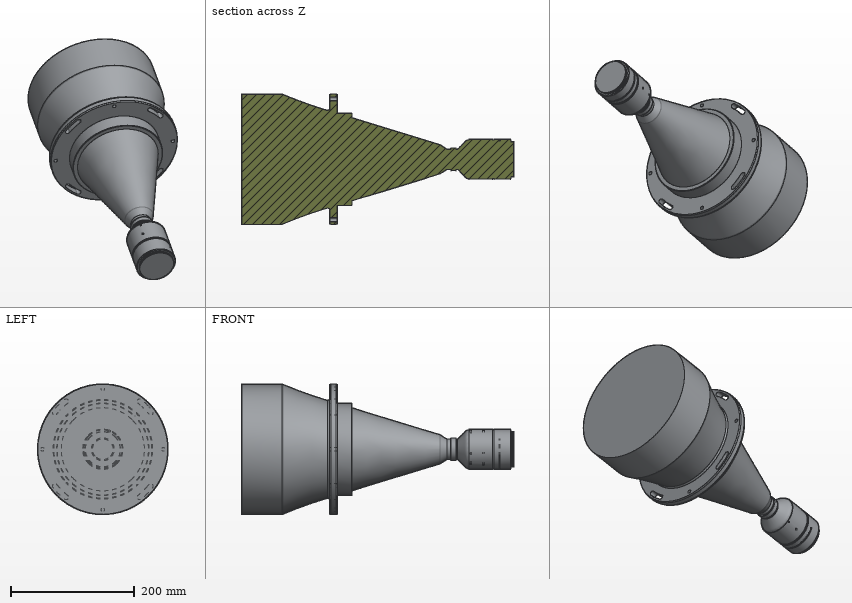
import cadquery as cq
import math

LENGTH = 441.0

BARREL_RADIUS = 106.0
BARREL_END = 66.5
BARREL_LIP_WIDTH = 1.5
BARREL_LIP_DEPTH = 0.5
TAPER_MID_X = 102.7
TAPER_MID_RADIUS = 91.3
TAPER_END_X = 139.0
TAPER_END_RADIUS = 79.5

FLANGE_DIAMETER = 212.0
FLANGE_RADIUS = FLANGE_DIAMETER / 2
FLANGE_START = 142.5
FLANGE_END = 155.0
FLANGE_CHAMFER_LENGTH = 2.5
FLANGE_CHAMFER_DEPTH = 1.0
FLANGE_NECK_RADIUS = 80.5

HUB_RADIUS = 75.0
HUB_END = 179.0
HUB_CHAMFER = 1.0
CONE_START_RADIUS = 67.5
CONE_END_X = 321.5
CONE_END_RADIUS = 24.0

WAIST_RADIUS = 16.8
WAIST_START = 332.5
WAIST_BLEND_MID_X = 326.7
WAIST_BLEND_MID_RADIUS = 20.5
RING_RADIUS = 18.5
RING_START = 338.0
RING_END = 348.0
RING_CHAMFER = 1.0

FLARE_START = 350.0
FLARE_MID_X = 360.3
FLARE_MID_RADIUS = 27.0
FLARE_END_RADIUS = 31.7
HEAD_RADIUS = 32.5
HEAD_START = 368.0
GROOVE_RADIUS = 31.7
GROOVE_START = 406.0
GROOVE_END = 408.8
HEAD_END = 436.5
HEAD_CHAMFER = 1.5
SPIGOT_RADIUS = 28.5
SPIGOT_GROOVE_START = 437.5
SPIGOT_GROOVE_END = 438.7
SPIGOT_GROOVE_DEPTH = 0.5

BOLT_CIRCLE_RADIUS = 98.0
SLOT_WIDTH = 8.0
SLOT_SPAN = 15.0
PIN_HOLE_DIAMETER = 5.7
HOLES_PER_CIRCLE = 4

SCREW_ROWS = [(371.5, 2.0, 17.0), (391.5, 3.0, 20.0)]
SCREWS_PER_ROW = 3
SCREW_DEPTH = 4.5

CLAMP_SLOT_X = 418.0
CLAMP_SLOT_WIDTH = 1.8
CLAMP_SLOT_DEPTH = 2.0
CLAMP_SLOT_START = 17.0
CLAMP_SLOT_END = 210.0


def turned_body():
    """Revolve the half profile about the X axis."""
    profile = (
        cq.Workplane("XY")
        .moveTo(0, 0)
        .lineTo(0, BARREL_RADIUS)
        .lineTo(BARREL_END - BARREL_LIP_WIDTH, BARREL_RADIUS)
        .lineTo(BARREL_END, BARREL_RADIUS - BARREL_LIP_DEPTH)
        .threePointArc((TAPER_MID_X, TAPER_MID_RADIUS), (TAPER_END_X, TAPER_END_RADIUS))
        .lineTo(FLANGE_START, FLANGE_NECK_RADIUS)
        .lineTo(FLANGE_START, FLANGE_RADIUS - FLANGE_CHAMFER_DEPTH)
        .lineTo(FLANGE_START + FLANGE_CHAMFER_LENGTH, FLANGE_RADIUS)
        .lineTo(FLANGE_END - FLANGE_CHAMFER_LENGTH, FLANGE_RADIUS)
        .lineTo(FLANGE_END, FLANGE_RADIUS - FLANGE_CHAMFER_DEPTH)
        .lineTo(FLANGE_END, HUB_RADIUS)
        .lineTo(HUB_END - HUB_CHAMFER, HUB_RADIUS)
        .lineTo(HUB_END, HUB_RADIUS - HUB_CHAMFER)
        .lineTo(HUB_END, CONE_START_RADIUS)
        .lineTo(CONE_END_X, CONE_END_RADIUS)
        .threePointArc((WAIST_BLEND_MID_X, WAIST_BLEND_MID_RADIUS), (WAIST_START, WAIST_RADIUS))
        .lineTo(RING_START, WAIST_RADIUS)
        .lineTo(RING_START + RING_CHAMFER, RING_RADIUS)
        .lineTo(RING_END - RING_CHAMFER, RING_RADIUS)
        .lineTo(RING_END, WAIST_RADIUS)
        .lineTo(FLARE_START, WAIST_RADIUS)
        .spline(
            [(FLARE_MID_X, FLARE_MID_RADIUS), (HEAD_START, FLARE_END_RADIUS)],
            tangents=[(1, 1), (1, 0)],
            includeCurrent=True,
        )
        .lineTo(HEAD_START, HEAD_RADIUS)
        .lineTo(GROOVE_START, HEAD_RADIUS)
        .lineTo(GROOVE_START, GROOVE_RADIUS)
        .lineTo(GROOVE_END, GROOVE_RADIUS)
        .lineTo(GROOVE_END, HEAD_RADIUS)
        .lineTo(HEAD_END - HEAD_CHAMFER, HEAD_RADIUS)
        .lineTo(HEAD_END, HEAD_RADIUS - HEAD_CHAMFER)
        .lineTo(HEAD_END, SPIGOT_RADIUS)
        .lineTo(SPIGOT_GROOVE_START, SPIGOT_RADIUS)
        .lineTo(SPIGOT_GROOVE_START, SPIGOT_RADIUS - SPIGOT_GROOVE_DEPTH)
        .lineTo(SPIGOT_GROOVE_END, SPIGOT_RADIUS - SPIGOT_GROOVE_DEPTH)
        .lineTo(SPIGOT_GROOVE_END, SPIGOT_RADIUS)
        .lineTo(LENGTH, SPIGOT_RADIUS)
        .lineTo(LENGTH, 0)
        .close()
    )
    return profile.revolve(360, (0, 0, 0), (1, 0, 0))


def polar(radius, angle):
    """Point in the YZ plane at an angle from +Y toward +Z."""
    return radius * math.cos(math.radians(angle)), radius * math.sin(math.radians(angle))


def flange_slot(middle_angle):
    """Round-ended slot that follows the bolt circle, cut right through the flange."""
    start = middle_angle - SLOT_SPAN / 2
    end = middle_angle + SLOT_SPAN / 2
    inner = BOLT_CIRCLE_RADIUS - SLOT_WIDTH / 2
    outer = BOLT_CIRCLE_RADIUS + SLOT_WIDTH / 2
    thickness = FLANGE_END - FLANGE_START
    band = (
        cq.Workplane("YZ", origin=(FLANGE_START, 0, 0))
        .moveTo(*polar(inner, start))
        .threePointArc(polar(inner, middle_angle), polar(inner, end))
        .lineTo(*polar(outer, end))
        .threePointArc(polar(outer, middle_angle), polar(outer, start))
        .close()
        .extrude(thickness)
    )
    ends = (
        cq.Workplane("YZ", origin=(FLANGE_START, 0, 0))
        .pushPoints([polar(BOLT_CIRCLE_RADIUS, start), polar(BOLT_CIRCLE_RADIUS, end)])
        .circle(SLOT_WIDTH / 2)
        .extrude(thickness)
    )
    return band.union(ends)


def pin_holes():
    """Small through holes midway between the flange slots."""
    return (
        cq.Workplane("YZ", origin=(FLANGE_START, 0, 0))
        .polarArray(BOLT_CIRCLE_RADIUS, 0, 360, HOLES_PER_CIRCLE)
        .circle(PIN_HOLE_DIAMETER / 2)
        .extrude(FLANGE_END - FLANGE_START)
    )


def screw_hole(place_x, diameter, angle):
    """Blind radial hole, turned from +Z toward -Y by the angle."""
    hole = (
        cq.Workplane("XY", origin=(place_x, 0, HEAD_RADIUS - SCREW_DEPTH))
        .circle(diameter / 2)
        .extrude(2 * SCREW_DEPTH)
    )
    return hole.rotate((0, 0, 0), (1, 0, 0), angle)


def clamp_slot():
    """Narrow groove round the lower part of the head."""
    section = (
        cq.Workplane("XY")
        .moveTo(CLAMP_SLOT_X, -HEAD_RADIUS)
        .rect(CLAMP_SLOT_WIDTH, 2 * CLAMP_SLOT_DEPTH)
    )
    sweep = section.revolve(CLAMP_SLOT_END - CLAMP_SLOT_START, (0, 0, 0), (1, 0, 0))
    return sweep.rotate((0, 0, 0), (1, 0, 0), CLAMP_SLOT_START)


result = turned_body()
for index in range(HOLES_PER_CIRCLE):
    result = result.cut(flange_slot((index + 0.5) * 360 / HOLES_PER_CIRCLE))
result = result.cut(pin_holes())
for place_x, diameter, first_angle in SCREW_ROWS:
    for index in range(SCREWS_PER_ROW):
        angle = first_angle + index * 360 / SCREWS_PER_ROW
        result = result.cut(screw_hole(place_x, diameter, angle))
result = result.cut(clamp_slot())